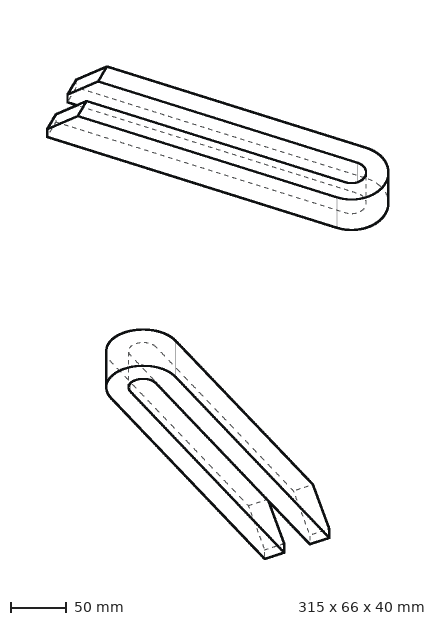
import cadquery as cq

length = 315.0
width = 66.0
height = 40.0
slot_width = 26.0
bevel = 30.0

outer_radius = width / 2
slot_radius = slot_width / 2
bend_center_x = length - outer_radius


def round_ended_bar(radius):
    """Bar from X = 0, closed by a half round about the bend axis."""
    return (
        cq.Workplane("XY")
        .moveTo(0, -radius)
        .lineTo(bend_center_x, -radius)
        .threePointArc((bend_center_x + radius, 0), (bend_center_x, radius))
        .lineTo(0, radius)
        .close()
        .extrude(height)
    )


def tip_bevel():
    """Wedge removed from the top of both leg tips."""
    return (
        cq.Workplane("XZ")
        .moveTo(0, height - bevel)
        .lineTo(bevel, height)
        .lineTo(0, height)
        .close()
        .extrude(outer_radius, both=True)
    )


result = round_ended_bar(outer_radius).cut(round_ended_bar(slot_radius)).cut(tip_bevel())